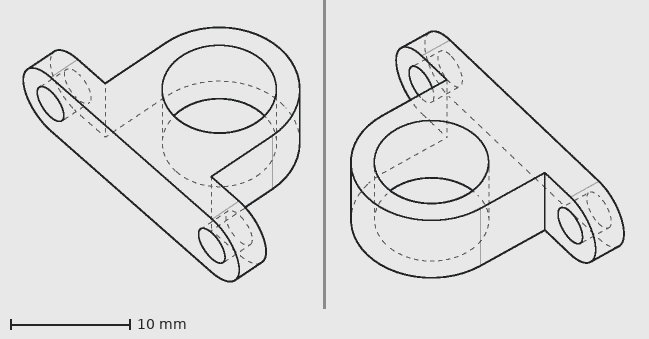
import cadquery as cq

foot_length = 27.6
height = 7.0
foot_thickness = 3.0
screw_hole_diameter = 3.4
screw_hole_spacing = foot_length - height

total_depth = 16.6
ring_diameter = 13.55
bore_diameter = 9.6
bore_center_y = total_depth - ring_diameter / 2


def make_foot():
    """Rounded plate whose outer face lies on Y = 0."""
    return cq.Workplane("XZ").slot2D(foot_length, height).extrude(-foot_thickness)


def make_ring_body():
    """Upright block that ends in a half cylinder around the bore axis."""
    base = cq.Workplane("XY").workplane(offset=-height / 2)
    start_y = foot_thickness / 2
    return (
        base.moveTo(-ring_diameter / 2, start_y)
        .lineTo(-ring_diameter / 2, bore_center_y)
        .threePointArc((0, total_depth), (ring_diameter / 2, bore_center_y))
        .lineTo(ring_diameter / 2, start_y)
        .close()
        .extrude(height)
    )


def make_bore():
    """Through bore of the ring."""
    return (
        cq.Workplane("XY")
        .workplane(offset=-height / 2)
        .center(0, bore_center_y)
        .circle(bore_diameter / 2)
        .extrude(height)
    )


def make_screw_holes():
    """Two through holes in the foot, parallel to Y."""
    return (
        cq.Workplane("XZ")
        .pushPoints([(side * screw_hole_spacing / 2, 0) for side in (-1, 1)])
        .circle(screw_hole_diameter / 2)
        .extrude(-foot_thickness)
    )


result = make_foot().union(make_ring_body()).cut(make_bore()).cut(make_screw_holes()).clean()